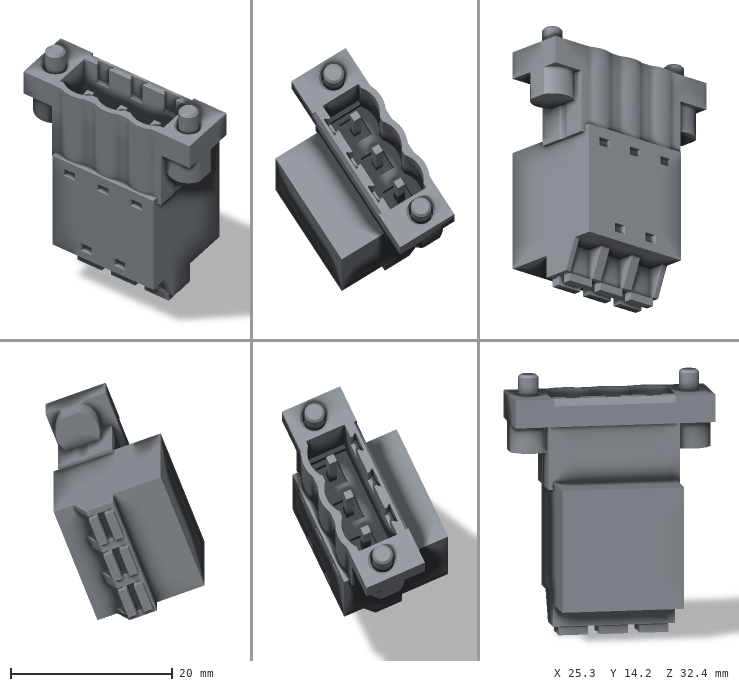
import cadquery as cq
import math


pole_pitch = 5.1
pole_xs = [-pole_pitch, 0, pole_pitch]
gap_xs = [-pole_pitch / 2, pole_pitch / 2]

wire_width = 15.35
wire_front_y = -4.1
wire_back_y = 10.08
wire_top_z = 19.35
wire_front_bottom_z = 5.05
wire_back_bottom_z = 4.02
nose_bottom_z = 1.15
nose_back_y = 3.75
nose_slope_top_y = -1.5
nose_slope_bottom_y = 0.15

header_width = 16.6
header_front_y = -3.35
header_back_y = 3.85
header_bottom_z = 18.45
header_top_z = 29.95

bulge_depth = 0.42
bulge_half_width = 2.07
bulge_arc_half_width = 1.52

total_width = 25.25
flange_thickness = 3.5
flange_back_y = 4.63
flange_bottom_z = header_top_z - flange_thickness
back_relief_depth = 0.42
back_relief_height = 0.87
screw_spacing = 20.28
screw_xs = [-screw_spacing / 2, screw_spacing / 2]
boss_radius = 2.75
boss_bottom_z = 22.85
boss_fillet = 0.2
clearance_radius = 1.98
screw_radius = 1.25
screw_top_z = 32.4
screw_chamfer = 0.3
screw_hole_radius = 1.5
countersink = 0.32

cavity_half_width = 7.87
cavity_back_y = 3.05
cavity_front_y = -2.2
scallop_half_width = 2.17
scallop_depth = 0.78
straight_depth = 4.2
draft_inset = 0.1
ledge_depth = 7.78
floor_depth = 8.75
seat_width = 3.15
seat_length = 2.88
seat_depth = 0.97

keyway_depth = 3.0
keyway_mouth_half = 0.95
keyway_back_half = 1.23
keyway_neck_y = 3.35
keyway_wide_y = 3.65
keyway_back_y = 3.85

window_width = 1.7
window_depth = 0.7
window_draft = 0.15
upper_window_z = (16.95, 18.0)
lower_window_z = (6.15, 7.32)

pin_side = 1.0
pin_top_z = 27.77
pin_anchor_depth = 1.95
cavity_floor_z = header_top_z - floor_depth
seat_z = cavity_floor_z - seat_depth
pin_bottom_z = seat_z - pin_anchor_depth

clamp_y = 1.88
foot_width = 3.65
foot_height = 0.97
foot_outer = 1.62
leg_outer = 1.0
leg_inner = 0.5
leg_width = 3.55
clamp_top_z = 3.6
bridge_bottom_z = 2.6
slot_width = 3.75


def box(x_range, y_range, z_range):
    """Axis-aligned box between the given limits."""
    size = [high - low for low, high in (x_range, y_range, z_range)]
    corner = (x_range[0], y_range[0], z_range[0])
    return cq.Workplane("XY").box(*size, centered=False).translate(corner)


def span(center, width):
    return (center - width / 2, center + width / 2)


def cylinder(x, radius, bottom_z, top_z):
    """Upright cylinder on the plane Y = 0."""
    return cq.Workplane("XY", origin=(x, 0, bottom_z)).circle(radius).extrude(top_z - bottom_z)


def make_wire_housing():
    outline = [
        (wire_front_y, wire_top_z),
        (wire_back_y, wire_top_z),
        (wire_back_y, wire_back_bottom_z),
        (nose_back_y, wire_back_bottom_z),
        (nose_back_y, nose_bottom_z),
        (nose_slope_bottom_y, nose_bottom_z),
        (nose_slope_top_y, wire_front_bottom_z),
        (wire_front_y, wire_front_bottom_z),
    ]
    return cq.Workplane("YZ").polyline(outline).close().extrude(wire_width / 2, both=True)


def make_bulge(x):
    """One rounded swelling: a convex arc blended into the flat front by two concave arcs."""
    sweep = 2 * math.atan(bulge_depth / bulge_half_width)
    radius_sum = bulge_half_width / math.sin(sweep)
    convex_radius = bulge_arc_half_width / math.sin(sweep)
    concave_radius = radius_sum - convex_radius
    crest_y = header_front_y - bulge_depth
    blend_y = crest_y + convex_radius * (1 - math.cos(sweep))
    blend_mid_x = bulge_half_width - concave_radius * math.sin(sweep / 2)
    blend_mid_y = header_front_y - concave_radius * (1 - math.cos(sweep / 2))
    return (
        cq.Workplane("XY", origin=(x, 0, header_bottom_z))
        .moveTo(-bulge_half_width, header_front_y)
        .threePointArc((-blend_mid_x, blend_mid_y), (-bulge_arc_half_width, blend_y))
        .threePointArc((0, crest_y), (bulge_arc_half_width, blend_y))
        .threePointArc((blend_mid_x, blend_mid_y), (bulge_half_width, header_front_y))
        .lineTo(bulge_half_width, 0)
        .lineTo(-bulge_half_width, 0)
        .close()
        .extrude(header_top_z - header_bottom_z)
    )


def make_boss(x):
    """Screw boss, trimmed flush with the flange end."""
    boss = cylinder(x, boss_radius, boss_bottom_z, flange_bottom_z)
    flange_ends = box(span(0, total_width), span(0, 2 * boss_radius), (boss_bottom_z, flange_bottom_z))
    return boss.intersect(flange_ends)


def make_header():
    """Walls, flanges and bulged front; the bosses are filleted where they meet flange and wall."""
    core = box(span(0, header_width), (header_front_y, header_back_y), (header_bottom_z, header_top_z))
    flange = box(span(0, total_width), (header_front_y, flange_back_y), (flange_bottom_z, header_top_z))
    header = core.union(flange)
    for x in screw_xs:
        channel = cylinder(x, clearance_radius, header_bottom_z, boss_bottom_z)
        header = header.cut(channel).union(make_boss(x))
    joint_half_span = boss_radius - boss_fillet
    boss_joints = cq.selectors.BoxSelector(
        (-total_width / 2 + boss_fillet, -joint_half_span, boss_bottom_z + boss_fillet),
        (total_width / 2 - boss_fillet, joint_half_span, flange_bottom_z + boss_fillet),
    )
    header = header.edges(boss_joints).fillet(boss_fillet)
    for x in pole_xs:
        header = header.union(make_bulge(x))
    return header


def make_back_relief():
    """Wedge taken off the upper back edge of the flange, as wide as the wire housing."""
    return (
        cq.Workplane("YZ")
        .moveTo(flange_back_y - back_relief_depth, header_top_z)
        .lineTo(flange_back_y, header_top_z)
        .lineTo(flange_back_y, header_top_z - back_relief_height)
        .close()
        .extrude(wire_width / 2, both=True)
    )


def cavity_outline(z, inset):
    """Cavity cross-section at height z: straight back and sides, one scallop per pole in front."""
    side_x = cavity_half_width - inset
    front_y = cavity_front_y + inset
    back_y = cavity_back_y - inset
    outline = cq.Workplane("XY", origin=(0, 0, z)).moveTo(-side_x, back_y).lineTo(-side_x, front_y)
    for x in pole_xs:
        outline = (
            outline.lineTo(x - scallop_half_width, front_y)
            .threePointArc((x, front_y - scallop_depth), (x + scallop_half_width, front_y))
        )
    return outline.lineTo(side_x, front_y).lineTo(side_x, back_y).close()


def make_cavity():
    draft_top_z = header_top_z - straight_depth
    upper = cavity_outline(draft_top_z, 0).extrude(straight_depth)
    lower = cq.Workplane(
        cq.Solid.makeLoft(
            [
                cavity_outline(cavity_floor_z, draft_inset).wires().val(),
                cavity_outline(draft_top_z, 0).wires().val(),
            ],
            True,
        )
    )
    end_x = pole_xs[-1] + scallop_half_width
    for sign in (-1, 1):
        ledge = box(
            sorted((sign * end_x, sign * total_width / 2)),
            (header_front_y, header_back_y),
            (cavity_floor_z, header_top_z - ledge_depth),
        )
        lower = lower.cut(ledge)
    return upper.union(lower)


def make_keyway(x):
    """Dovetail slot in the back wall, open to the cavity and to the top."""
    half_outline = [
        (keyway_mouth_half, 0),
        (keyway_mouth_half, keyway_neck_y),
        (keyway_back_half, keyway_wide_y),
        (keyway_back_half, keyway_back_y),
    ]
    mirrored = [(-half_x, y) for half_x, y in reversed(half_outline)]
    return (
        cq.Workplane("XY", origin=(x, 0, header_top_z - keyway_depth))
        .polyline(half_outline + mirrored)
        .close()
        .extrude(keyway_depth)
    )


def make_pin_well(x):
    """Rectangular recess in the cavity floor with the fitting hole for a pin."""
    seat = box(span(x, seat_width), span(0, seat_length), (seat_z, cavity_floor_z))
    return seat.union(make_pin(x))


def make_screw_hole(x):
    """Countersunk clearance hole through the flange; below it the boss holds the screw itself."""
    clearance = cylinder(x, screw_hole_radius, flange_bottom_z, header_top_z)
    rim = cq.Workplane("XY", origin=(x, 0, header_top_z)).circle(screw_hole_radius + countersink)
    cone = rim.workplane(offset=-countersink).circle(screw_hole_radius).loft()
    return clearance.union(cone).union(make_screw(x))


def make_upper_window(x):
    return box(span(x, window_width), (wire_front_y, wire_front_y + window_depth), upper_window_z)


def make_lower_window(x):
    """Window whose side walls close in towards its back."""
    front_half = window_width / 2
    back_half = front_half - window_draft
    bottom_z, top_z = lower_window_z
    return (
        cq.Workplane("XY", origin=(x, wire_front_y, bottom_z))
        .polyline([
            (-front_half, 0),
            (front_half, 0),
            (back_half, window_depth),
            (-back_half, window_depth),
        ])
        .close()
        .extrude(top_z - bottom_z)
    )


def make_clamp_slot(x):
    """Slot through the sloped front of the nose, with a pocket behind it for the clamp legs."""
    front_leg_y = clamp_y - leg_outer
    slot = box(span(x, slot_width), (nose_slope_top_y, front_leg_y), (nose_bottom_z, wire_front_bottom_z))
    pocket = box(span(x, slot_width), (front_leg_y, clamp_y + leg_outer), (nose_bottom_z, clamp_top_z))
    return slot.union(pocket)


def make_housing():
    housing = make_wire_housing().union(make_header()).cut(make_back_relief()).cut(make_cavity())
    for x in pole_xs:
        for cutter in (make_keyway, make_pin_well, make_upper_window, make_clamp_slot):
            housing = housing.cut(cutter(x))
    for x in gap_xs:
        housing = housing.cut(make_lower_window(x))
    for x in screw_xs:
        housing = housing.cut(make_screw_hole(x))
    return housing.solids()


def make_pin(x):
    return box(span(x, pin_side), span(0, pin_side), (pin_bottom_z, pin_top_z))


def make_screw(x):
    return cylinder(x, screw_radius, boss_bottom_z, screw_top_z).faces(">Z").chamfer(screw_chamfer)


def make_clamp(x):
    """Inverted U with a foot turned outwards at the end of each leg."""
    half_outline = [
        (leg_outer, clamp_top_z),
        (leg_outer, foot_height),
        (foot_outer, foot_height),
        (foot_outer, 0),
        (leg_inner, 0),
        (leg_inner, bridge_bottom_z),
    ]
    mirrored = [(-y, z) for y, z in reversed(half_outline)]
    profile = cq.Workplane("YZ", origin=(x, clamp_y, 0)).polyline(half_outline + mirrored).close()
    clamp = profile.extrude(foot_width / 2, both=True)
    legs = box(span(x, leg_width), span(clamp_y, 2 * leg_outer), (foot_height, clamp_top_z))
    feet = box(span(x, foot_width), span(clamp_y, 2 * foot_outer), (0, foot_height))
    return clamp.intersect(legs.union(feet))


housing = make_housing()
pins = [make_pin(x) for x in pole_xs]
screws = [make_screw(x) for x in screw_xs]
clamps = [make_clamp(x) for x in pole_xs]

result = cq.Compound.makeCompound([body.val() for body in [housing, *pins, *screws, *clamps]])